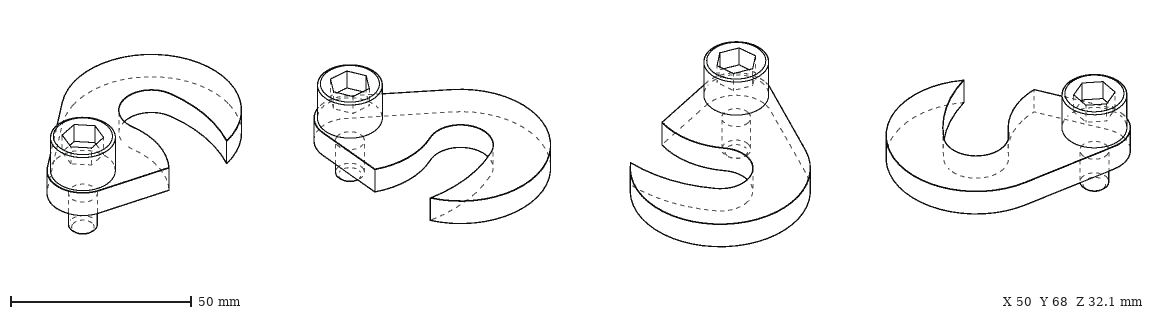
import cadquery as cq
import math

hook_radius = 25.0
pivot_radius = 10.0
pivot_to_hook = 32.95
plate_thickness = 8.0
plate_edge_chamfer = 0.1

slot_width = 18.0
head_diameter = 18.0
head_height = 12.1
head_chamfer_width = 0.8
head_chamfer_height = 0.4
socket_across_flats = 10.0
socket_depth = 6.0
shank_diameter = 8.0
shank_length = 12.0
shank_chamfer = 0.9


def plate_blank():
    """Two discs joined by their common outer tangents."""
    tangent_sine = (hook_radius - pivot_radius) / pivot_to_hook
    tangent_cosine = math.sqrt(1 - tangent_sine**2)
    hook_x = hook_radius * tangent_cosine
    hook_y = pivot_to_hook - hook_radius * tangent_sine
    pivot_x = pivot_radius * tangent_cosine
    pivot_y = -pivot_radius * tangent_sine
    return (
        cq.Workplane("XY")
        .moveTo(pivot_x, pivot_y)
        .lineTo(hook_x, hook_y)
        .threePointArc((0, pivot_to_hook + hook_radius), (-hook_x, hook_y))
        .lineTo(-pivot_x, pivot_y)
        .threePointArc((0, -pivot_radius), (pivot_x, pivot_y))
        .close()
        .extrude(plate_thickness)
    )


def hook_slot():
    """Slot with a round end, curving about the screw axis and open towards +X."""
    inner = pivot_to_hook - slot_width / 2
    outer = pivot_to_hook + slot_width / 2
    diagonal = math.sqrt(0.5)
    return (
        cq.Workplane("XY")
        .moveTo(0, inner)
        .threePointArc((-slot_width / 2, pivot_to_hook), (0, outer))
        .threePointArc((outer * diagonal, outer * diagonal), (outer, 0))
        .lineTo(inner, 0)
        .threePointArc((inner * diagonal, inner * diagonal), (0, inner))
        .close()
        .extrude(plate_thickness)
    )


def screw_head():
    """Cylindrical head with a chamfered rim and a hexagonal socket."""
    head_top = plate_thickness + head_height
    head_radius = head_diameter / 2
    head = (
        cq.Workplane("XZ")
        .moveTo(0, plate_thickness)
        .lineTo(head_radius, plate_thickness)
        .lineTo(head_radius, head_top - head_chamfer_height)
        .lineTo(head_radius - head_chamfer_width, head_top)
        .lineTo(0, head_top)
        .close()
        .revolve(360, (0, 0), (0, 1))
    )
    across_corners = socket_across_flats / math.cos(math.pi / 6)
    socket = (
        cq.Workplane("XY", origin=(0, 0, head_top - socket_depth))
        .transformed(rotate=(0, 0, 90))
        .polygon(6, across_corners)
        .extrude(socket_depth)
    )
    return head.cut(socket)


def screw_shank():
    """Pin below the plate with a chamfered tip."""
    return (
        cq.Workplane("XY")
        .circle(shank_diameter / 2)
        .extrude(-shank_length)
        .faces("<Z")
        .chamfer(shank_chamfer)
    )


plate = plate_blank().cut(hook_slot()).faces(">Z").chamfer(plate_edge_chamfer)
result = plate.union(screw_head()).union(screw_shank())